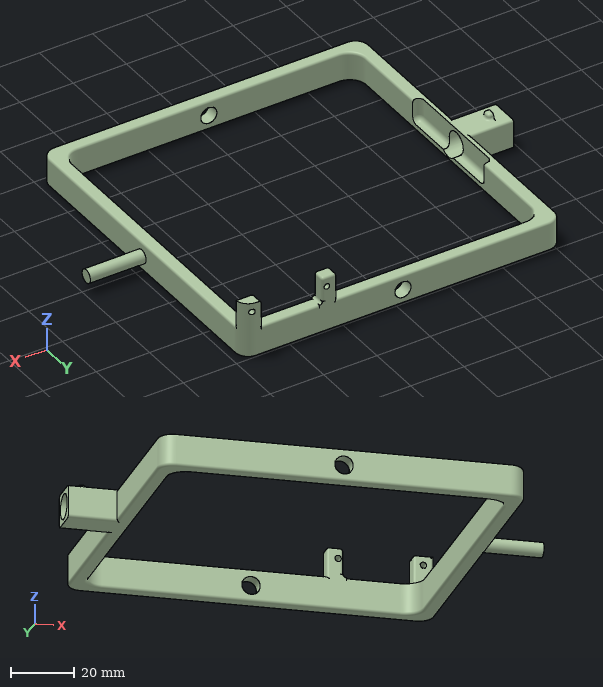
import cadquery as cq

frame_side = 120.0
frame_height = 11.0
bar_width = 5.0
outer_corner_radius = 5.0
inner_corner_radius = 6.0
edge_radius = 1.0
half_side = frame_side / 2
inner_side = frame_side - 2 * bar_width
half_inner = inner_side / 2
mid_z = frame_height / 2

socket_length = 16.0
socket_width = 11.3
socket_bore = 8.3
socket_end_x = -half_side - socket_length

overall_length = 156.9
pin_diameter = 5.0
pin_length = overall_length - frame_side - socket_length

cross_hole = 6.0

pocket_length = 42.2
pocket_depth = 3.0
pocket_floor_z = 2.5
pocket_radius = 2.0

bump_offset = 5.0
bump_length = 2.0
bump_width = 3.5
bump_height = 2.0
bump_radius = 1.1

overall_height = 20.9
post_start_x = 24.8
post_width = 5.5
post_hole = 2.0
post_hole_x = 28.5
post_hole_z = 17.3
corner_post_start_x = 53.2
corner_post_hole_x = 56.5
corner_post_hole_z = 17.5


def x_cylinder(diameter, start_x, length):
    """Cylinder along X at half the frame height."""
    return cq.Workplane("YZ", origin=(start_x, 0, mid_z)).circle(diameter / 2).extrude(length)


def y_cylinder(diameter, x, z):
    """Cylinder along Y, long enough to cross the whole frame."""
    plane = cq.Workplane("XZ", origin=(x, 0, z))
    return plane.circle(diameter / 2).extrude(half_side + bar_width, both=True)


def rounded_block(side, radius):
    """Square block of the frame height with rounded vertical corners."""
    block = cq.Workplane("XY").rect(side, side).extrude(frame_height)
    return block.edges("|Z").fillet(radius)


def make_frame():
    """Square ring with round corners and rounded top and bottom edges."""
    opening = rounded_block(inner_side, inner_corner_radius)
    ring = rounded_block(frame_side, outer_corner_radius).cut(opening)
    return ring.faces("<Z or >Z").edges().fillet(edge_radius)


def make_socket():
    """Square bar from the socket mouth to the middle of the -X frame bar."""
    length = socket_length + bar_width / 2
    plane = cq.Workplane("YZ", origin=(socket_end_x, 0, mid_z))
    bar = plane.rect(socket_width, frame_height).extrude(length)
    return bar.edges("|X").fillet(edge_radius)


def make_pocket():
    """Cutter with rounded ends and floor; it reaches past the bar so only its -X side shapes the part."""
    cutter = (
        cq.Workplane("XY", origin=(-half_inner, 0, pocket_floor_z))
        .rect(2 * pocket_depth, pocket_length)
        .extrude(frame_height)
    )
    return cutter.edges("|Z or <Z").fillet(pocket_radius)


def make_bump():
    """Bump with its flat end towards -X, rounded above and flared where it meets the socket.

    It is shaped as a double-length block on a thin base, then cut in half to give the flat end.
    """
    start_x = socket_end_x + bump_offset
    double_length = 2 * bump_length
    margin = 4 * edge_radius
    base = cq.Workplane("XY").rect(double_length + margin, bump_width + margin).extrude(-edge_radius)
    block = cq.Workplane("XY").rect(double_length, bump_width).extrude(bump_height)
    block = block.edges("|Z or >Z").fillet(bump_radius)
    reach_x = bump_length + edge_radius
    reach_y = bump_width / 2 + edge_radius
    foot_edges = cq.selectors.BoxSelector(
        (-reach_x, -reach_y, -edge_radius / 2),
        (reach_x, reach_y, edge_radius / 2),
    )
    flared = base.union(block).edges(foot_edges).fillet(edge_radius)
    rear_space = cq.Workplane("XY").box(
        socket_length, socket_width, overall_height, centered=(False, True, True)
    )
    rear_half = flared.intersect(rear_space)
    return rear_half.translate((start_x, 0, frame_height))


def make_post():
    """Upright block over the back bar, flush with both faces of the bar and rooted inside it."""
    height = overall_height - mid_z
    post = cq.Workplane("XY").box(post_width, bar_width, height, centered=False)
    post = post.edges("|Z or >Z").fillet(edge_radius)
    return post.translate((post_start_x, half_inner, mid_z))


def make_post_foot():
    """Concave fillet between the bar and the +X side of the first post."""
    foot_x = post_start_x + post_width
    top = frame_height + edge_radius
    bottom = frame_height - edge_radius
    return (
        cq.Workplane("XZ", origin=(0, half_side, 0))
        .moveTo(foot_x - edge_radius, top)
        .lineTo(foot_x, top)
        .radiusArc((foot_x + edge_radius, frame_height), -edge_radius)
        .lineTo(foot_x + edge_radius, bottom)
        .lineTo(foot_x - edge_radius, bottom)
        .close()
        .extrude(bar_width)
    )


def make_corner_post():
    """Post over the back right corner; its sharp outer side follows the round corner of the frame."""
    arc_start = half_side - outer_corner_radius
    post = (
        cq.Workplane("XY", origin=(0, 0, mid_z))
        .moveTo(corner_post_start_x, half_inner)
        .lineTo(corner_post_start_x, half_side)
        .lineTo(arc_start, half_side)
        .radiusArc((half_side, arc_start), outer_corner_radius)
        .close()
        .extrude(overall_height - mid_z)
    )
    front_edges = post.faces("<Y").edges("not <Z")
    left_top_edge = post.faces(">Z").edges("<X")
    return post.newObject(front_edges.vals() + left_top_edge.vals()).fillet(edge_radius)


body = make_frame().union(make_socket())
body = body.union(x_cylinder(pin_diameter, half_inner, bar_width + pin_length))
body = body.cut(make_pocket())
body = body.union(make_bump())
body = body.union(make_post())
body = body.union(make_post_foot())
body = body.union(make_corner_post())

body = body.cut(x_cylinder(socket_bore, socket_end_x, socket_length + bar_width))
body = body.cut(y_cylinder(cross_hole, 0, mid_z))
body = body.cut(y_cylinder(post_hole, post_hole_x, post_hole_z))
result = body.cut(y_cylinder(post_hole, corner_post_hole_x, corner_post_hole_z))